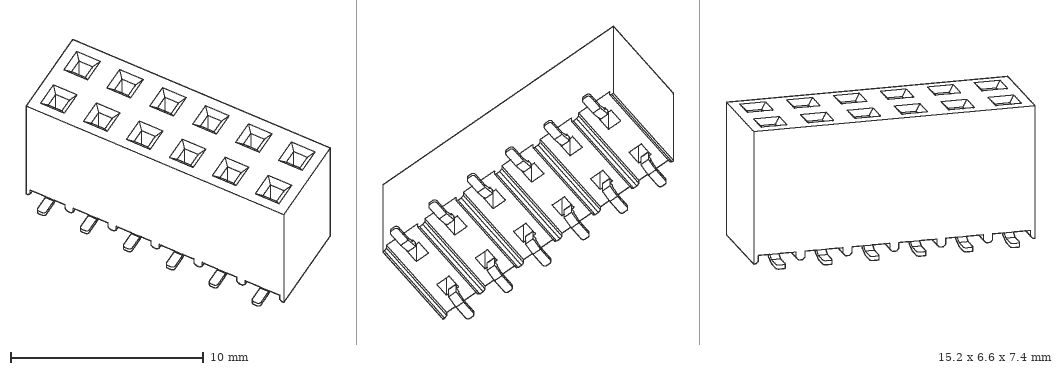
import cadquery as cq

columns = 6
rows = 2
body_length = 15.24
pitch = body_length / columns
body_width = rows * pitch

overall_height = 7.4
standoff_bottom = 0.14
standoff_height = 0.45
floor_height = standoff_bottom + standoff_height

standoff_width = 0.49
standoff_chamfer = 0.14

socket_side = 0.81
funnel_side = 1.4
funnel_depth = (funnel_side - socket_side) / 2
socket_shift = -0.05

tail_span = 6.6
tail_width = 0.5
tail_thickness = 0.23
tail_corner_radius = 0.15
bend_start = 2.33
leg_clearance = 0.03
leg_inner = (pitch + socket_side) / 2 + leg_clearance
leg_outer = leg_inner + tail_thickness
leg_embedding = 0.45

column_places = [(column - (columns - 1) / 2) * pitch for column in range(columns)]
row_places = [(row - (rows - 1) / 2) * pitch for row in range(rows)]


def make_relief(x):
    """Channel between two ribs, flared at the bottom to chamfer the rib edges."""
    half_width = (pitch - standoff_width) / 2
    chamfer_top = standoff_bottom + standoff_chamfer
    half_mouth = half_width + standoff_chamfer
    return (
        cq.Workplane("XZ")
        .polyline([
            (x - half_mouth, standoff_bottom),
            (x - half_width, chamfer_top),
            (x - half_width, floor_height),
            (x + half_width, floor_height),
            (x + half_width, chamfer_top),
            (x + half_mouth, standoff_bottom),
        ])
        .close()
        .extrude(body_width / 2, both=True)
    )


def make_body():
    """Block whose underside is relieved between the standoff ribs."""
    body = cq.Workplane("XY").box(
        body_length, body_width, overall_height - standoff_bottom, centered=(True, True, False)
    )
    body = body.translate((0, 0, standoff_bottom))
    for x in column_places:
        body = body.cut(make_relief(x))
    return body


def make_socket(x, y):
    """Square through hole with a tapered lead-in at the top."""
    hole = cq.Workplane("XY").center(x, y).rect(socket_side, socket_side).extrude(overall_height)
    funnel = (
        cq.Workplane("XY", origin=(x, y, overall_height))
        .rect(funnel_side, funnel_side)
        .workplane(offset=-funnel_depth)
        .rect(socket_side, socket_side)
        .loft()
    )
    return hole.union(funnel)


def make_contact():
    """Contact on the +Y side: flat solder tail, sloped bend and a leg rooted in the body."""
    tip = tail_span / 2
    leg_top = floor_height + leg_embedding
    contact = (
        cq.Workplane("YZ")
        .polyline([
            (tip, 0),
            (tip, tail_thickness),
            (bend_start, tail_thickness),
            (leg_outer, 2 * tail_thickness),
            (leg_outer, leg_top),
            (leg_inner, leg_top),
            (leg_inner, tail_thickness),
            (bend_start, 0),
        ])
        .close()
        .extrude(tail_width / 2, both=True)
    )
    return contact.faces(">Y").edges("|Z").fillet(tail_corner_radius)


result = make_body()

for x in column_places:
    for y in row_places:
        result = result.cut(make_socket(x, y + socket_shift))

back_contact = make_contact()
front_contact = back_contact.mirror("XZ")
for x in column_places:
    result = result.union(back_contact.translate((x, 0, 0)))
    result = result.union(front_contact.translate((x, 0, 0)))